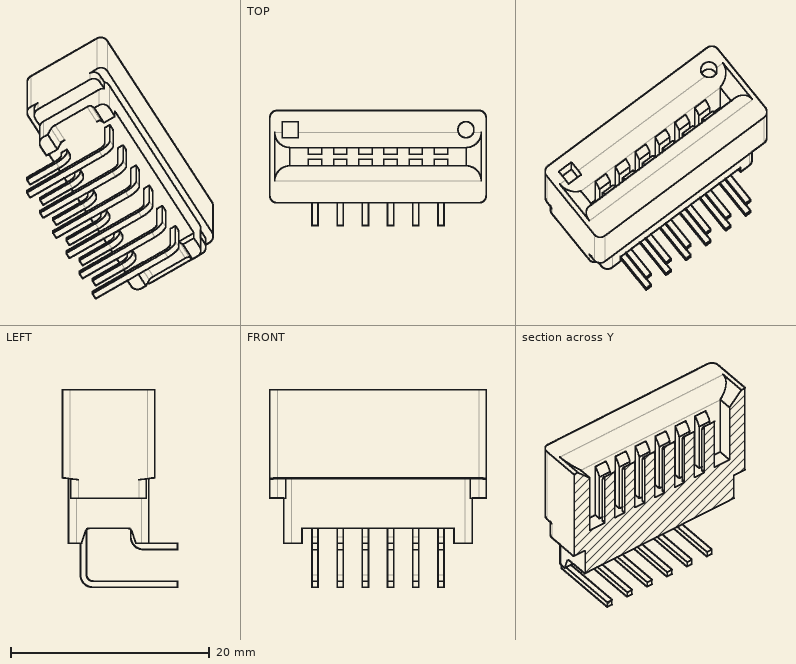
import math

import cadquery as cq


housing_length = 21.84
housing_width = 9.34
corner_radius = 0.76
skirt_depth = 8.89
skirt_slope = 6.5
end_block_width = 7.62
end_block_depth = 10.93

base_length = 19.03
base_width = 8.1
base_depth = 13.98
foot_depth = 15.5
foot_gap_length = 15.3
arch_bottom_width = 5.5
arch_top_width = 4.5
arch_radius = 0.5

slot_length = 17.78
slot_width = 1.84
slot_depth = 8.5
lead_in = 1.52

marker_size = 1.62
marker_x = 8.87
marker_y = 2.72
marker_depth = 2.5

contact_count = 6
pitch = 2.54
contact_width = 1.35
contact_gap = 0.48
contact_top_depth = 2.05
contact_start_slope = 38.0
contact_end_slope = 70.0
pin_size = 0.64
pin_bend_radius = 0.64
row_spacing = 2 * pitch
overall_height = 19.93
overall_width = 11.63
tail_end_y = housing_width / 2 - overall_width
tail_spacing = 1.5 * pitch
tail_embed = 0.5

contact_positions = [(i - (contact_count - 1) / 2) * pitch for i in range(contact_count)]


def block(length, width, top, bottom):
    """Box centred on the Z axis between two heights."""
    return (
        cq.Workplane("XY", origin=(0, 0, bottom))
        .rect(length, width)
        .extrude(top - bottom)
    )


def rounded_block(length, width, bottom):
    """Block below the top face with rounded vertical corners."""
    return block(length, width, 0, bottom).edges("|Z").fillet(corner_radius)


def along_x(points, length, center=0):
    """Prism along X with a Y-Z outline."""
    return (
        cq.Workplane("YZ", origin=(center - length / 2, 0, 0))
        .polyline(points)
        .close()
        .extrude(length)
    )


def make_skirt():
    """Upper body whose underside slopes down from both long sides."""
    half = housing_width / 2
    middle_depth = skirt_depth + half * math.tan(math.radians(skirt_slope))
    outline = [(-half, 0), (half, 0), (half, -skirt_depth), (0, -middle_depth), (-half, -skirt_depth)]
    body = rounded_block(housing_length, housing_width, -middle_depth)
    return body.intersect(along_x(outline, housing_length))


def make_base():
    """Base block cut away underneath to leave four corner feet."""
    base = rounded_block(base_length, base_width, -foot_depth)
    foot_gap = block(foot_gap_length, base_width, -base_depth, -foot_depth)
    arch_outline = [
        (-arch_bottom_width / 2, -foot_depth),
        (arch_bottom_width / 2, -foot_depth),
        (arch_top_width / 2, -base_depth),
        (-arch_top_width / 2, -base_depth),
    ]
    arch = along_x(arch_outline, base_length).edges("|X and >Z").fillet(arch_radius)
    return base.cut(foot_gap).cut(arch)


def make_slot():
    """Card slot opening upwards through rounded lips and ramped ends."""
    slot = block(slot_length, slot_width, 0, -slot_depth)
    inner = slot_width / 2
    outer = inner + lead_in
    arc_offset = lead_in * (1 - math.sqrt(0.5))
    lips = (
        cq.Workplane("YZ", origin=(-slot_length / 2 - lead_in, 0, 0))
        .moveTo(-outer, 0)
        .threePointArc((-inner - arc_offset, -arc_offset), (-inner, -lead_in))
        .lineTo(inner, -lead_in)
        .threePointArc((inner + arc_offset, -arc_offset), (outer, 0))
        .close()
        .extrude(slot_length + 2 * lead_in)
    )
    ramps = (
        cq.Workplane("XZ", origin=(0, outer, 0))
        .moveTo(-slot_length / 2 - lead_in, 0)
        .lineTo(slot_length / 2 + lead_in, 0)
        .lineTo(slot_length / 2, -lead_in)
        .lineTo(-slot_length / 2, -lead_in)
        .close()
        .extrude(2 * outer)
    )
    return slot.union(lips.intersect(ramps))


def make_markers():
    """Blind square and round holes at the two ends of one slot lip."""
    floor = cq.Workplane("XY", origin=(0, marker_y, -marker_depth))
    square = floor.center(-marker_x, 0).rect(marker_size, marker_size).extrude(marker_depth)
    circle = floor.center(marker_x, 0).circle(marker_size / 2).extrude(marker_depth)
    return square.union(circle)


def make_contact(x, side):
    """Contact with a rounded top, standing out of the slot wall on the given Y side."""
    wall = slot_width / 2
    tip = contact_gap / 2
    start = math.radians(contact_start_slope)
    end = math.radians(contact_end_slope)
    middle = (start + end) / 2
    radius = (wall - tip) / (math.sin(end) - math.sin(start))

    def arc_point(angle):
        """Point on the rounded top where it falls at the given angle."""
        y = wall - radius * (math.sin(angle) - math.sin(start))
        z = -contact_top_depth - radius * (math.cos(start) - math.cos(angle))
        return (side * y, z)

    return (
        cq.Workplane("YZ", origin=(x - contact_width / 2, 0, 0))
        .moveTo(*arc_point(start))
        .threePointArc(arc_point(middle), arc_point(end))
        .lineTo(side * tip, -slot_depth)
        .lineTo(side * wall, -slot_depth)
        .close()
        .extrude(contact_width)
    )


def make_tail(x, row_y, bottom):
    """Square tail leaving the base downwards and bending towards -Y."""
    half = pin_size / 2
    top = tail_embed - base_depth
    outline = [
        (row_y + half, top),
        (row_y + half, bottom),
        (tail_end_y, bottom),
        (tail_end_y, bottom + pin_size),
        (row_y - half, bottom + pin_size),
        (row_y - half, top),
    ]
    tail = along_x(outline, pin_size, x)
    outer_bend = cq.selectors.NearestToPointSelector((x, row_y + half, bottom))
    inner_bend = cq.selectors.NearestToPointSelector((x, row_y - half, bottom + pin_size))
    tail = tail.edges("|X").edges(outer_bend).fillet(pin_bend_radius + pin_size)
    return tail.edges("|X").edges(inner_bend).fillet(pin_bend_radius)


end_blocks = rounded_block(housing_length, end_block_width, -end_block_depth)
result = make_skirt().union(end_blocks).union(make_base())
result = result.cut(make_slot()).cut(make_markers())

for x in contact_positions:
    for side in (-1, 1):
        result = result.union(make_contact(x, side))
    result = result.union(make_tail(x, row_spacing / 2, -overall_height))
    result = result.union(make_tail(x, -row_spacing / 2, tail_spacing - overall_height))